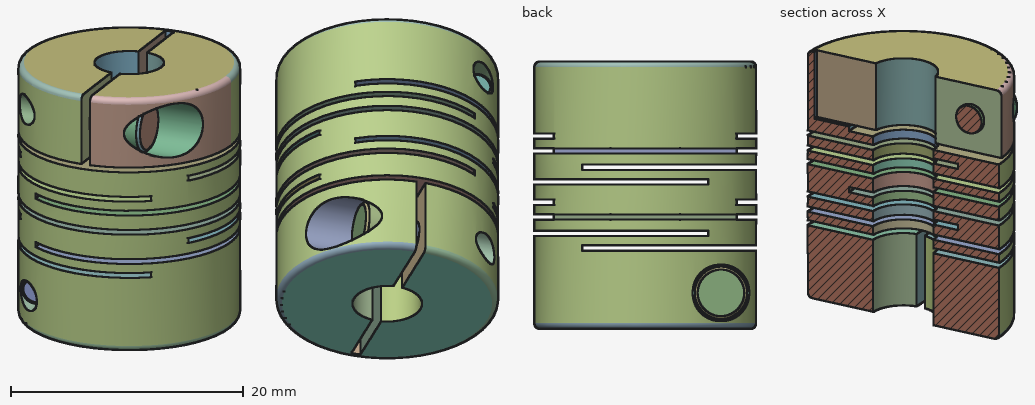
import cadquery as cq

LENGTH = 23.0
OUTER_RADIUS = 9.55
BORE_RADIUS = 3.0
RIM_FILLET = 0.5

SLOT_HEIGHT = 0.44
SLOT_REACH = 5.4
FIRST_SLOT_DEPTH = 6.2
SLOT_PITCH = 1.26
PAIR_PITCH = 2.67
GROUP_PITCH = 5.68
UPPER_GROUP_OPENINGS = (("-Y", "+Y"), ("-X", "+X"))
LOWER_GROUP_OPENINGS = (("-Y", "+Y"), ("+X", "-X"))

SLIT_WIDTH = 0.8
SLIT_REACH = 8.83
TOP_SLIT_DEPTH = FIRST_SLOT_DEPTH
BOTTOM_SLIT_DEPTH = 6.8

SCREW_OFFSET = 6.5
SCREW_INSET = 3.1
SHANK_RADIUS = 1.29
SHANK_END = -5.52
HEAD_RADIUS = 2.25
HEAD_LENGTH = 2.5
HEAD_END = 4.65
SCREW_CHAMFER = 0.25
COUNTERBORE_RADIUS = 2.44
COUNTERBORE_FLOOR = HEAD_END - HEAD_LENGTH

OPENING_ANGLE = {"-Y": 0, "+X": 90, "+Y": 180, "-X": 270}


def body():
    blank = cq.Workplane("XY").circle(OUTER_RADIUS).extrude(LENGTH)
    blank = blank.edges().fillet(RIM_FILLET)
    return blank.cut(cq.Workplane("XY").circle(BORE_RADIUS).extrude(LENGTH))


def side_cut(width, reach, bottom, top, opening):
    """Box open to one side of the body and running past its axis by `reach`."""
    middle_y = (reach - OUTER_RADIUS) / 2
    box = cq.Workplane("XY").workplane(offset=bottom).center(0, middle_y)
    box = box.rect(width, OUTER_RADIUS + reach).extrude(top - bottom)
    return box.rotate((0, 0, 0), (0, 0, 1), OPENING_ANGLE[opening])


def flexure_slots(first_depth, pairs):
    """One group of four slots, as two opposed pairs stacked below each other."""
    slots = cq.Workplane("XY")
    for pair, openings in enumerate(pairs):
        for step, opening in enumerate(openings):
            top = LENGTH - first_depth - pair * PAIR_PITCH - step * SLOT_PITCH
            slots = slots.union(side_cut(2 * OUTER_RADIUS, SLOT_REACH, top - SLOT_HEIGHT, top, opening))
    return slots


def rod(radius, start, end):
    """Cylinder along X between two positions."""
    return cq.Workplane("YZ").workplane(offset=start).circle(radius).extrude(end - start)


def screw_hole():
    hole = rod(SHANK_RADIUS, -OUTER_RADIUS, COUNTERBORE_FLOOR)
    return hole.union(rod(COUNTERBORE_RADIUS, COUNTERBORE_FLOOR, OUTER_RADIUS))


def screw():
    shank = rod(SHANK_RADIUS, SHANK_END, COUNTERBORE_FLOOR).faces("<X").chamfer(SCREW_CHAMFER)
    head = rod(HEAD_RADIUS, COUNTERBORE_FLOOR, HEAD_END).faces(">X").chamfer(SCREW_CHAMFER)
    return shank.union(head)


def at_top_clamp(shape):
    return shape.translate((0, -SCREW_OFFSET, LENGTH - SCREW_INSET))


def at_bottom_clamp(shape):
    """Lay a shape made along X along Y, beside the bottom slit."""
    turned = shape.rotate((0, 0, 0), (0, 0, 1), 90)
    return turned.translate((-SCREW_OFFSET, 0, SCREW_INSET))


def coupling():
    part = body()
    part = part.cut(flexure_slots(FIRST_SLOT_DEPTH, UPPER_GROUP_OPENINGS))
    part = part.cut(flexure_slots(FIRST_SLOT_DEPTH + GROUP_PITCH, LOWER_GROUP_OPENINGS))
    part = part.cut(side_cut(SLIT_WIDTH, SLIT_REACH, LENGTH - TOP_SLIT_DEPTH, LENGTH, "-Y"))
    part = part.cut(side_cut(SLIT_WIDTH, SLIT_REACH, 0, BOTTOM_SLIT_DEPTH, "-X"))
    for place in (at_top_clamp, at_bottom_clamp):
        part = part.cut(place(screw_hole())).union(place(screw()))
    return part


result = coupling()